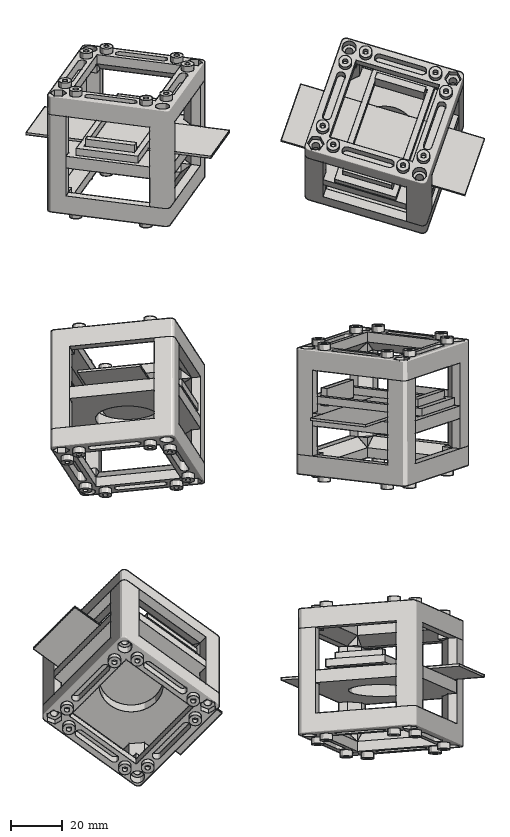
import cadquery as cq
import math

overall_height = 54.5
cube_side = 49.8
half_cube = cube_side / 2
window_side = 34.0
half_window = window_side / 2
corner_radius = 2.0
top_edge_radius = 0.5

inner_wall = 4.0
ledge_width = 3.6
slot_length = 21
slot_width = 3.4
slot_depth = 4.0

post_chamfer = 4.2

screw_offset = 21.15
screw_hole_diameter = 3.1
counterbore_diameter = 5.5
counterbore_depth = 4.0
nut_across_flats = 5.5
nut_depth = 3
nut_turn = 15
hexagon_sides = 6
nut_across_corners = nut_across_flats / math.cos(math.pi / hexagon_sides)

stud_diameter = 4.95
stud_height = (overall_height - cube_side) / 2
stud_bore_diameter = 2.0
rim_centre = 20.55
stud_spread = 14.25

plate_thickness = 5.0
post_clearance = 0.1
light_hole_diameter = 25.0
tab_length = 20.0
tab_thickness = 2.7
tab_height = 7.0
tab_inner_y = 19.1

slide_length = 75
slide_width = 25.0
slide_thickness = 1.0
slide_centre_y = 2.0

clamp_thickness = 3
clamp_width = 25.05
clamp_clearance = 0.2
clamp_opening_width = tab_length + 2 * clamp_clearance
clamp_opening_length = 2 * (tab_inner_y + tab_thickness + clamp_clearance)
clamp_centre_x = -clamp_clearance

CORNERS = [(sx, sy) for sx in (-1, 1) for sy in (-1, 1)]
POST_CORNERS = [(-1, 1), (1, -1)]
NUT_CORNERS = [(-1, -1), (1, 1)]


def box(x_range, y_range, z_range):
    """Box spanning the given (low, high) ranges."""
    size = [high - low for low, high in (x_range, y_range, z_range)]
    corner = (x_range[0], y_range[0], z_range[0])
    return cq.Workplane("XY").box(*size, centered=False).translate(corner)


def frame_column(corner, setback, z_low, z_high):
    """Corner column whose inner edge is cut off diagonally; setback moves its inner faces inwards."""
    sx, sy = corner
    inner = half_window - setback
    cut = inner + post_chamfer
    points = [(inner, half_cube), (inner, cut), (cut, inner), (half_cube, inner), (half_cube, half_cube)]
    outline = [(sx * x, sy * y) for x, y in points]
    return cq.Workplane("XY").workplane(offset=z_low).polyline(outline).close().extrude(z_high - z_low)


def rim():
    """Square top ring, sloped underneath except at its solid corners."""
    ring = box((-half_cube, half_cube), (-half_cube, half_cube), (half_window, half_cube))
    relief_base = cube_side - 2 * ledge_width
    thin_z = half_cube - inner_wall
    relief = (
        cq.Workplane("XY").workplane(offset=half_window).rect(relief_base, relief_base)
        .workplane(offset=thin_z - half_window).rect(window_side, window_side)
        .loft(combine=True)
    )
    for sx, sy in CORNERS:
        x_range = sorted((sx * half_window, sx * half_cube))
        y_range = sorted((sy * half_window, sy * half_cube))
        relief = relief.cut(box(x_range, y_range, (0, half_cube)))
    opening = box((-half_window, half_window), (-half_window, half_window), (0, half_cube))
    return ring.cut(relief).cut(opening)


def rim_slots():
    """Blind slots sunk into the outer face, one along each side of the rim."""
    along_x = (
        cq.Workplane("XY").workplane(offset=half_cube).pushPoints([(0, -rim_centre), (0, rim_centre)])
        .slot2D(slot_length, slot_width).extrude(-slot_depth)
    )
    return along_x.union(along_x.rotate((0, 0, 0), (0, 0, 1), 90))


def corner_holes():
    """Screw holes, counterbored over the posts and with nut pockets at the other corners."""
    def at_corners(corners):
        points = [(sx * screw_offset, sy * screw_offset) for sx, sy in corners]
        return cq.Workplane("XY").pushPoints(points)

    holes = at_corners(CORNERS).circle(screw_hole_diameter / 2).extrude(half_cube, both=True)
    counterbores = at_corners(POST_CORNERS).circle(counterbore_diameter / 2).extrude(counterbore_depth)
    holes = holes.union(counterbores.translate((0, 0, half_cube - counterbore_depth)))
    nut = (
        cq.Workplane("XY").polygon(hexagon_sides, nut_across_corners).extrude(nut_depth)
        .rotate((0, 0, 0), (0, 0, 1), nut_turn)
    )
    for sx, sy in NUT_CORNERS:
        holes = holes.union(nut.translate((sx * screw_offset, sy * screw_offset, half_cube - nut_depth)))
    return holes


def rim_studs():
    """Bored studs standing on the rim, a pair near each end of every side."""
    points = [(sx * rim_centre, sy * stud_spread) for sx, sy in CORNERS]
    points += [(sx * stud_spread, sy * rim_centre) for sx, sy in CORNERS]
    return (
        cq.Workplane("XY").workplane(offset=half_cube).pushPoints(points)
        .circle(stud_diameter / 2).circle(stud_bore_diameter / 2).extrude(stud_height)
    )


def make_frame_half():
    """Upper half: studded rim with two posts hanging from opposite corners."""
    half = rim()
    for corner in POST_CORNERS:
        half = half.union(frame_column(corner, 0, -half_window, half_window))
    envelope = box((-half_cube, half_cube), (-half_cube, half_cube), (-half_cube, half_cube))
    envelope = envelope.edges("|Z").fillet(corner_radius).faces(">Z").edges().fillet(top_edge_radius)
    half = half.intersect(envelope)
    return half.cut(rim_slots()).cut(corner_holes()).union(rim_studs())


def make_carrier_plate():
    """Plate notched around the posts, with a round light hole and two upright tabs."""
    plate = box((-half_cube, half_cube), (-half_cube, half_cube), (-plate_thickness, 0))
    plate = plate.cut(cq.Workplane("XY").circle(light_hole_diameter / 2).extrude(-plate_thickness))
    for corner in CORNERS:
        plate = plate.cut(frame_column(corner, post_clearance, -plate_thickness, 0))
    half_tab = tab_length / 2
    tab = box((-half_tab, half_tab), (tab_inner_y, tab_inner_y + tab_thickness), (0, tab_height))
    return plate.union(tab).union(tab.mirror("XZ"))


def make_slide():
    """Flat slide lying on the carrier plate."""
    return (
        cq.Workplane("XY").box(slide_length, slide_width, slide_thickness, centered=(True, True, False))
        .translate((0, slide_centre_y, 0))
    )


def make_clamp():
    """Rectangular frame resting on the slide, around the two tabs."""
    return (
        cq.Workplane("XY").workplane(offset=slide_thickness).center(clamp_centre_x, 0)
        .rect(clamp_width, cube_side).rect(clamp_opening_width, clamp_opening_length)
        .extrude(clamp_thickness)
    )


upper_half = make_frame_half()
lower_half = upper_half.rotate((0, 0, 0), (1, 0, 0), 180)
carrier_plate = make_carrier_plate()
slide = make_slide()
clamp = make_clamp()

result = cq.Compound.makeCompound(
    [upper_half.val(), lower_half.val(), carrier_plate.val(), slide.val(), clamp.val()]
)